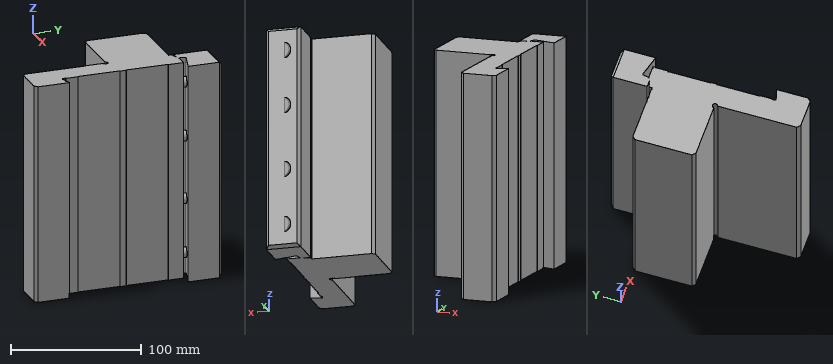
import cadquery as cq
import math

height = 177.8
width = 78.0
depth = 154.2

block_front = 68.5
block_back = 119.3
edge_chamfer = 2.5

plate_left = 49.3
plate_left_back = 50.0
plate_back = 124.6
guide_x = 68.8
guide_relief = 0.5
back_land_start = 112.2
middle_land_end = 77.9
middle_land_start = 72.7
front_land_end = 38.5
front_land_start = 28.6

dovetail_slope = math.tan(math.radians(15))
hook_tip_y = 28.1
hook_root_radius = 0.9
jaw_right = 77.5
jaw_tip_y = 125.2
jaw_front = 123.2
jaw_back = 153.0
jaw_chamfer = 2.5
jaw_notch_x = 59.4
jaw_lip_x = 58.0
jaw_notch_radius = 0.5

gap_height = 1.5
gap_length = 5.3

relief_radius = 1.8
relief_shift = 0.2

screw_tilt = 15.0
screw_edge_distance = 18.7
screw_inner_spacing = 44.5
screw_heights = [
    screw_edge_distance,
    screw_edge_distance + screw_inner_spacing,
    height - screw_edge_distance - screw_inner_spacing,
    height - screw_edge_distance,
]
head_radius = 7.0
head_rim_radius = 0.7
head_peak_x = 58.1
head_length = 7.1
shank_radius = 4.1
shank_x = 61.7
shank_y = 126.8
shank_length = 10.7


def prism(points):
    """Extrude a closed XY outline over the full height."""
    return cq.Workplane("XY").polyline(points).close().extrude(height)


def vertical_edge_at(x, y):
    """Select the full-height edge standing at the given profile corner."""
    reach = 0.09
    low_corner = (x - reach, y - reach, height / 2 - reach)
    high_corner = (x + reach, y + reach, height / 2 + reach)
    return cq.selectors.BoxSelector(low_corner, high_corner)


def make_body():
    relieved_x = guide_x - guide_relief
    hook_root_y = hook_tip_y - (width - relieved_x) * dovetail_slope
    body = prism([
        (plate_left, 0),
        (width, 0),
        (width, hook_tip_y),
        (relieved_x, hook_root_y),
        (relieved_x, front_land_start),
        (guide_x, front_land_start),
        (guide_x, front_land_end),
        (relieved_x, front_land_end),
        (relieved_x, middle_land_start),
        (guide_x, middle_land_start),
        (guide_x, middle_land_end),
        (relieved_x, middle_land_end),
        (relieved_x, back_land_start),
        (guide_x, back_land_start),
        (guide_x, plate_back),
        (plate_left_back, plate_back),
        (plate_left_back, block_back),
        (0, block_back),
        (0, block_front),
        (plate_left, block_front),
    ])
    for x, y in [(0, block_front), (0, block_back), (plate_left, 0), (width, 0)]:
        body = body.edges(vertical_edge_at(x, y)).chamfer(edge_chamfer)
    body = body.edges(vertical_edge_at(relieved_x, hook_root_y)).fillet(hook_root_radius)
    gap = prism([
        (plate_left_back, jaw_front - gap_height),
        (plate_left_back + gap_length, jaw_front),
        (plate_left_back + gap_length, plate_back),
        (plate_left_back, plate_back),
    ])
    return body.cut(make_corner_relief()).cut(gap)


def make_corner_relief():
    groove_end = cq.Workplane("XY").circle(relief_radius).extrude(height)
    groove_run = (
        cq.Workplane("XY")
        .rect(2 * relief_radius, 2 * relief_radius)
        .extrude(height)
        .translate((-relief_radius, 0, 0))
    )
    groove = groove_end.union(groove_run).rotate((0, 0, 0), (0, 0, 1), 45)
    return groove.translate((plate_left - relief_shift, block_front - relief_shift, 0))


def make_jaw():
    notch_y = jaw_tip_y + (jaw_right - jaw_notch_x) * dovetail_slope
    jaw = prism([
        (plate_left_back, jaw_front),
        (jaw_lip_x, jaw_front),
        (jaw_notch_x, notch_y),
        (jaw_right, jaw_tip_y),
        (jaw_right, jaw_back),
        (plate_left_back, jaw_back),
    ])
    jaw = jaw.edges(vertical_edge_at(jaw_notch_x, notch_y)).fillet(jaw_notch_radius)
    return jaw.faces(">Y").chamfer(jaw_chamfer)


def tilted_cylinder(x, y, z, radius, length):
    """Cylinder centred at the given place, its axis tilted from +Y towards +X."""
    tilt = math.radians(screw_tilt)
    axis = cq.Vector(math.sin(tilt), math.cos(tilt), 0)
    start = cq.Vector(x, y, z) - axis * (length / 2)
    return cq.Workplane(cq.Solid.makeCylinder(radius, length, start, axis))


def add_screws(part):
    tilt = math.radians(screw_tilt)
    rim_reach = head_radius - head_rim_radius
    rim_rise = head_length / 2 - head_rim_radius
    head_x = head_peak_x + rim_reach * math.cos(tilt) - rim_rise * math.sin(tilt)
    head_y = depth - head_rim_radius - rim_reach * math.sin(tilt) - rim_rise * math.cos(tilt)
    for z in screw_heights:
        head = tilted_cylinder(head_x, head_y, z, head_radius, head_length)
        part = part.union(head.edges(">Y").fillet(head_rim_radius))
        part = part.union(tilted_cylinder(shank_x, shank_y, z, shank_radius, shank_length))
    return part


result = add_screws(make_body().union(make_jaw()))